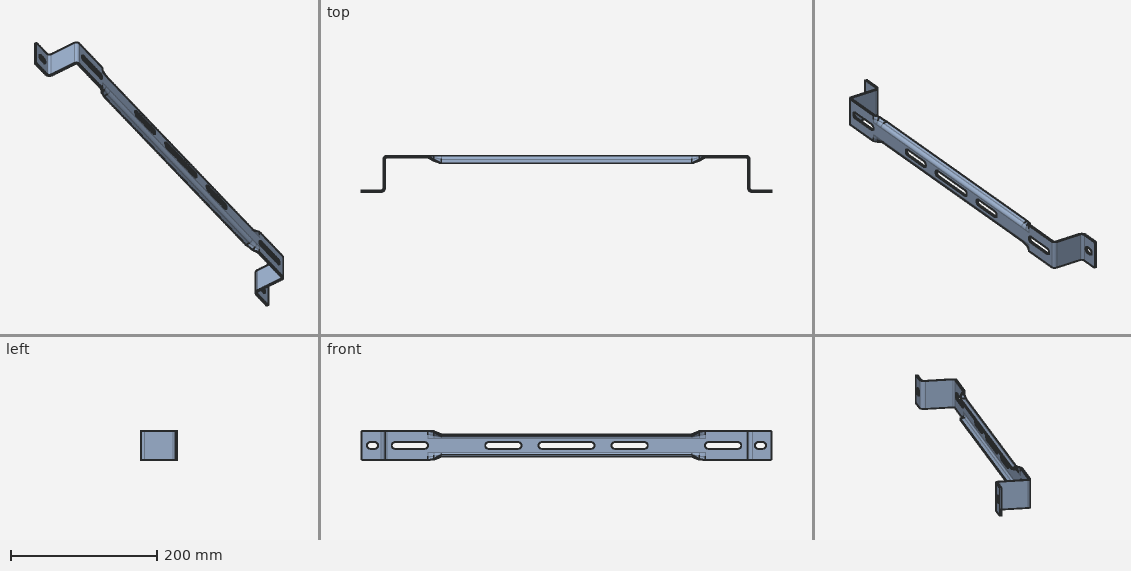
import cadquery as cq
import math

length = 560.0
depth = 50.0
width = 40.0
thickness = 2.5

foot_length = 32.5
foot_bend_inner_radius = 4.0
foot_bend_outer_radius = foot_bend_inner_radius + thickness
web_bend_inner_radius = 2.0
web_bend_outer_radius = web_bend_inner_radius + thickness
foot_corner_radius = 1.5

flange_angle = 83.0
flange_bend_inner_radius = 3.0
web_half_width = 9.5
flange_leg = 5.5

transition_start = length / 2 - 91.0
partial_fold_x = length / 2 - 98.5
transition_end = length / 2 - 108.5
partial_fold_angle = 36.0

slot_width = 9.0
foot_slot_length = 15.0
foot_slot_x = length / 2 - 15.0
long_slot_length = 49.0
outer_slot_x = length / 2 - 66.0
inner_slot_x = 86.0
centre_slot_length = 76.0

front_y = -depth / 2
back_y = depth / 2
web_front_y = back_y - thickness
web_centre_y = back_y - thickness / 2
wall_inner_x = length / 2 - foot_length
wall_outer_x = wall_inner_x + thickness


def make_end():
    """Full-width strip at the +X end: flat web, upright wall and foot."""
    outline = (
        cq.Workplane("XY")
        .moveTo(transition_start, back_y)
        .lineTo(wall_outer_x, back_y)
        .lineTo(wall_outer_x, front_y + thickness)
        .lineTo(length / 2, front_y + thickness)
        .lineTo(length / 2, front_y)
        .lineTo(wall_inner_x, front_y)
        .lineTo(wall_inner_x, web_front_y)
        .lineTo(transition_start, web_front_y)
        .close()
    )
    strip = outline.extrude(width / 2, both=True)

    def round_bend(body, x, y, radius):
        corner = cq.selectors.NearestToPointSelector((x, y, 0))
        return body.edges(corner).fillet(radius)

    strip = round_bend(strip, wall_outer_x, back_y, web_bend_outer_radius)
    strip = round_bend(strip, wall_inner_x, web_front_y, web_bend_inner_radius)
    strip = round_bend(strip, wall_inner_x, front_y, foot_bend_outer_radius)
    strip = round_bend(strip, wall_outer_x, front_y + thickness, foot_bend_inner_radius)
    return strip.faces(">X").edges("|Y").fillet(foot_corner_radius)


def flange_section(x, angle):
    """Upper flange section at x, folded by angle in degrees; the neutral bend length stays constant."""
    neutral_radius = flange_bend_inner_radius + thickness / 2
    bend_length = math.radians(flange_angle) * neutral_radius
    flat_leg = width / 2 - web_half_width - bend_length
    leg = flat_leg + (flange_leg - flat_leg) * angle / flange_angle
    fold = math.radians(angle)

    def bend_point(part, offset):
        """Point on the bend at a fraction of the fold, offset from the neutral line toward the back."""
        if angle == 0:
            return (web_centre_y + offset, web_half_width + bend_length * part)
        bend_radius = bend_length / fold
        centre_y = web_centre_y - bend_radius
        radius = bend_radius + offset
        return (
            centre_y + radius * math.cos(fold * part),
            web_half_width + radius * math.sin(fold * part),
        )

    def leg_end(offset):
        y, z = bend_point(1, offset)
        return (y - leg * math.sin(fold), z + leg * math.cos(fold))

    def bend_edge(profile, end, offset):
        if angle == 0:
            return profile.lineTo(*bend_point(end, offset))
        return profile.threePointArc(bend_point(0.5, offset), bend_point(end, offset))

    half = thickness / 2
    profile = cq.Workplane("YZ", origin=(x, 0, 0)).moveTo(*bend_point(0, half))
    profile = bend_edge(profile, 1, half)
    profile = profile.lineTo(*leg_end(half)).lineTo(*leg_end(-half)).lineTo(*bend_point(1, -half))
    profile = bend_edge(profile, 0, -half)
    return profile.close()


def make_transition():
    """Upper flange at the +X end, folding from flat to its full angle."""
    stations = (
        (transition_start, 0),
        (partial_fold_x, partial_fold_angle),
        (transition_end, flange_angle),
    )
    wires = [flange_section(x, angle).wire().val() for x, angle in stations]
    return cq.Workplane(cq.Solid.makeLoft(wires, ruled=True))


def cut_slot(body, x, slot_length, y):
    """Round-ended slot through the plate lying between y and y + thickness."""
    cutter = (
        cq.Workplane("XZ", origin=(x, y - thickness / 2, 0))
        .slot2D(slot_length, slot_width)
        .extrude(-2 * thickness)
    )
    return body.cut(cutter)


result = (
    cq.Workplane("XY")
    .box(2 * transition_start, thickness, 2 * web_half_width)
    .translate((0, web_centre_y, 0))
)

end = make_end()
result = result.union(end).union(end.mirror("YZ"))

transition = make_transition()
straight_flange = flange_section(-transition_end, flange_angle).extrude(2 * transition_end)
flange = straight_flange.union(transition).union(transition.mirror("YZ"))
result = result.union(flange).union(flange.mirror("XY"))

result = cut_slot(result, 0, centre_slot_length, web_front_y)
for side in (-1, 1):
    result = cut_slot(result, side * inner_slot_x, long_slot_length, web_front_y)
    result = cut_slot(result, side * outer_slot_x, long_slot_length, web_front_y)
    result = cut_slot(result, side * foot_slot_x, foot_slot_length, front_y)